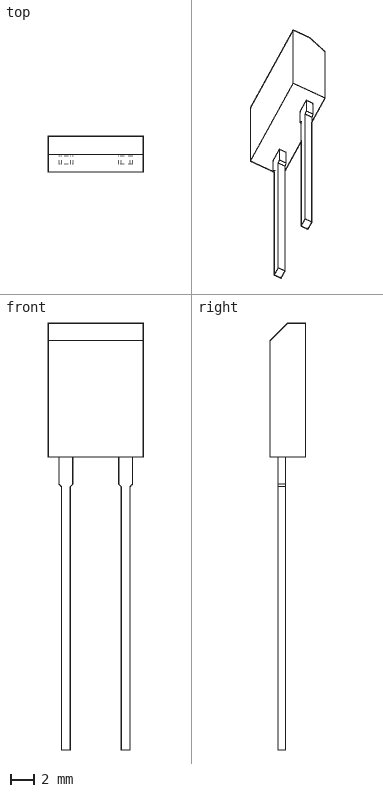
import cadquery as cq

TOTAL_HEIGHT = 36.35

HOUSING_WIDTH = 8.1
HOUSING_DEPTH = 3.05
HOUSING_HEIGHT = 11.4
BEVEL_SIZE = 1.5

LEAD_PITCH = 5.1
LEAD_THICKNESS = 0.65
LEAD_CENTER_Y = -0.5
LEAD_LENGTH = TOTAL_HEIGHT - HOUSING_HEIGHT
WIDE_WIDTH = 1.2
NARROW_WIDTH = 0.75
SHOULDER_START = 2.3
SHOULDER_END = 2.5


def make_housing():
    """Block standing on Z = 0, centred in X and Y, with its front top edge bevelled."""
    block = cq.Workplane("XY").box(
        HOUSING_WIDTH, HOUSING_DEPTH, HOUSING_HEIGHT, centered=(True, True, False)
    )
    return block.faces(">Z").edges("<Y").chamfer(BEVEL_SIZE)


def make_lead(center_x):
    """Strip hanging from the housing underside, stepping in through a tapered shoulder."""
    half_wide = WIDE_WIDTH / 2
    half_narrow = NARROW_WIDTH / 2
    outline = [
        (-half_wide, 0),
        (half_wide, 0),
        (half_wide, -SHOULDER_START),
        (half_narrow, -SHOULDER_END),
        (half_narrow, -LEAD_LENGTH),
        (-half_narrow, -LEAD_LENGTH),
        (-half_narrow, -SHOULDER_END),
        (-half_wide, -SHOULDER_START),
    ]
    strip = cq.Workplane("XZ").polyline(outline).close().extrude(LEAD_THICKNESS / 2, both=True)
    return strip.translate((center_x, LEAD_CENTER_Y, 0))


housing = make_housing()
leads = [make_lead(side * LEAD_PITCH / 2) for side in (-1, 1)]

result = cq.Compound.makeCompound([housing.val(), *[lead.val() for lead in leads]])